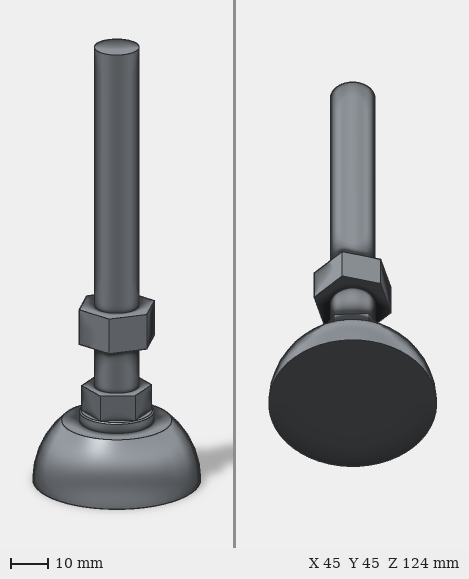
import cadquery as cq
import math

total_height = 124.0

base_diameter = 45.0
base_top_diameter = 29.5
base_height = 17.0

collar_diameter = 20.0
collar_height = 3.0
collar_chamfer = 0.4

foot_hex_flats = 16.2
foot_hex_height = 7.1
foot_hex_turn = -17.0

rod_diameter = 12.0
nut_flats = 18.5
nut_height = 9.9
nut_bottom = 40.0

collar_top = base_height + collar_height


def make_base():
    """Spherical dome with a flat top, its sphere centred on the Z axis."""
    bottom_radius = base_diameter / 2
    top_radius = base_top_diameter / 2
    center_z = (base_height**2 + top_radius**2 - bottom_radius**2) / (2 * base_height)
    sphere_radius = math.hypot(bottom_radius, center_z)
    middle_z = base_height / 2
    middle_radius = math.sqrt(sphere_radius**2 - (middle_z - center_z) ** 2)
    return (
        cq.Workplane("XZ")
        .lineTo(bottom_radius, 0)
        .threePointArc((middle_radius, middle_z), (top_radius, base_height))
        .lineTo(0, base_height)
        .close()
        .revolve(360, (0, 0, 0), (0, 1, 0))
    )


def make_collar():
    """Short disc with a chamfered upper edge."""
    return (
        cq.Workplane("XY", origin=(0, 0, base_height))
        .circle(collar_diameter / 2)
        .extrude(collar_height)
        .faces(">Z")
        .chamfer(collar_chamfer)
    )


def make_hex_nut(flats, height, bottom, turn=0.0):
    """Hexagonal prism with a through hole that fits the rod."""
    corner_diameter = flats / math.cos(math.pi / 6)
    return (
        cq.Workplane("XY", origin=(0, 0, bottom))
        .polygon(6, corner_diameter)
        .circle(rod_diameter / 2)
        .extrude(height)
        .rotate((0, 0, 0), (0, 0, 1), turn)
    )


def make_rod():
    """Plain rod standing on the collar and passing through both hexagons."""
    return (
        cq.Workplane("XY", origin=(0, 0, collar_top))
        .circle(rod_diameter / 2)
        .extrude(total_height - collar_top)
    )


base = make_base()
collar = make_collar()
foot_hex = make_hex_nut(foot_hex_flats, foot_hex_height, collar_top, foot_hex_turn)
lock_nut = make_hex_nut(nut_flats, nut_height, nut_bottom)
rod = make_rod()

result = cq.Compound.makeCompound(
    [base.val(), collar.val(), foot_hex.val(), lock_nut.val(), rod.val()]
)